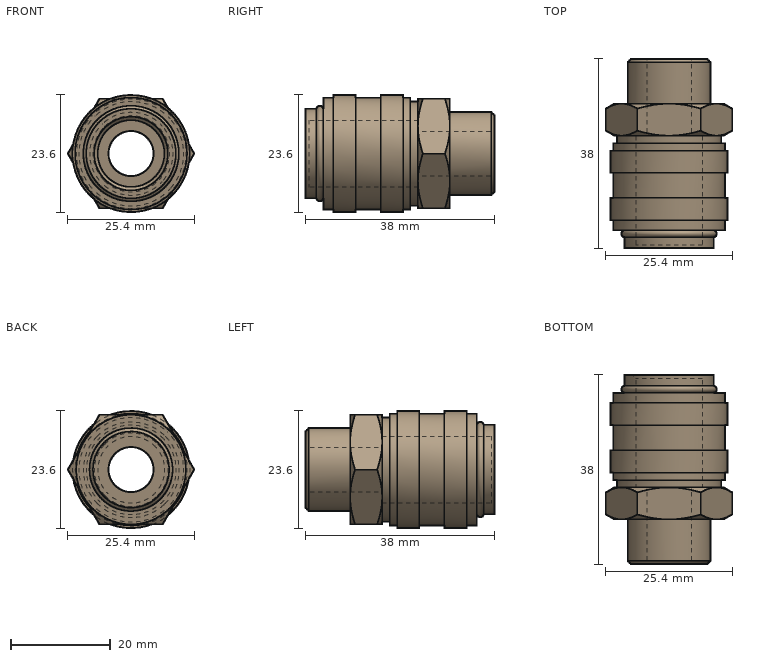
import cadquery as cq
import math


ring_start = 2.2
body_start = 3.6
band_length = 4.5
front_band_start = 5.6
rear_band_start = 15.1
body_end = 21.1
nut_start = 22.6
nut_end = 29.0
total_length = 38.0

mouth_diameter = 18.0
ring_diameter = 19.2
body_diameter = 22.5
band_diameter = 23.55
neck_diameter = 21.0
spigot_diameter = 16.7
spigot_chamfer = 0.7

nut_across_flats = 22.0
nut_across_corners = nut_across_flats / math.cos(math.pi / 6)
nut_chamfer_angle = 30.0

through_diameter = 9.0
socket_diameter = 13.4
socket_depth = nut_start
socket_chamfer = 0.7


def cylinder(diameter, start, end):
    """Solid cylinder on the Y axis between two stations."""
    plane = cq.Workplane("XZ", origin=(0, start, 0))
    return plane.circle(diameter / 2).extrude(start - end)


def retaining_ring():
    """Ring around the mouth: a torus whose full-round section stands proud of the mouth."""
    round_radius = (body_start - ring_start) / 2
    center_radius = ring_diameter / 2 - round_radius
    return (
        cq.Workplane("XY")
        .center(center_radius, ring_start + round_radius)
        .circle(round_radius)
        .revolve(360, (-center_radius, 0, 0), (-center_radius, 1, 0))
    )


def hex_nut():
    """Hexagon whose corners are bevelled by a cone at both ends."""
    hexagon = (
        cq.Workplane("XZ", origin=(0, nut_start, 0))
        .polygon(6, nut_across_corners)
        .extrude(nut_start - nut_end)
    )
    bevel_width = (nut_across_corners - nut_across_flats) / 2
    bevel_length = bevel_width * math.tan(math.radians(nut_chamfer_angle))
    corner_radius = nut_across_corners / 2
    flat_radius = nut_across_flats / 2
    envelope = (
        cq.Workplane("XY")
        .moveTo(0, nut_start)
        .lineTo(flat_radius, nut_start)
        .lineTo(corner_radius, nut_start + bevel_length)
        .lineTo(corner_radius, nut_end - bevel_length)
        .lineTo(flat_radius, nut_end)
        .lineTo(0, nut_end)
        .close()
        .revolve(360, (0, 0, 0), (0, 1, 0))
    )
    return hexagon.intersect(envelope)


def spigot():
    """Plain cylinder in place of the thread, chamfered at its free end."""
    return cylinder(spigot_diameter, nut_end, total_length).faces(">Y").chamfer(spigot_chamfer)


def sleeve():
    """Mouth, body with two raised bands, and the neck behind it."""
    outer = cylinder(mouth_diameter, 0, body_start)
    outer = outer.union(retaining_ring())
    outer = outer.union(cylinder(body_diameter, body_start, body_end))
    for band_start in (front_band_start, rear_band_start):
        outer = outer.union(cylinder(band_diameter, band_start, band_start + band_length))
    return outer.union(cylinder(neck_diameter, body_end, nut_start))


def socket_bore():
    """Blind socket with a chamfered mouth."""
    bore_radius = socket_diameter / 2
    return (
        cq.Workplane("XY")
        .lineTo(bore_radius + socket_chamfer, 0)
        .lineTo(bore_radius, socket_chamfer)
        .lineTo(bore_radius, socket_depth)
        .lineTo(0, socket_depth)
        .close()
        .revolve(360, (0, 0, 0), (0, 1, 0))
    )


result = sleeve().union(hex_nut()).union(spigot())
result = result.cut(socket_bore()).cut(cylinder(through_diameter, 0, total_length))